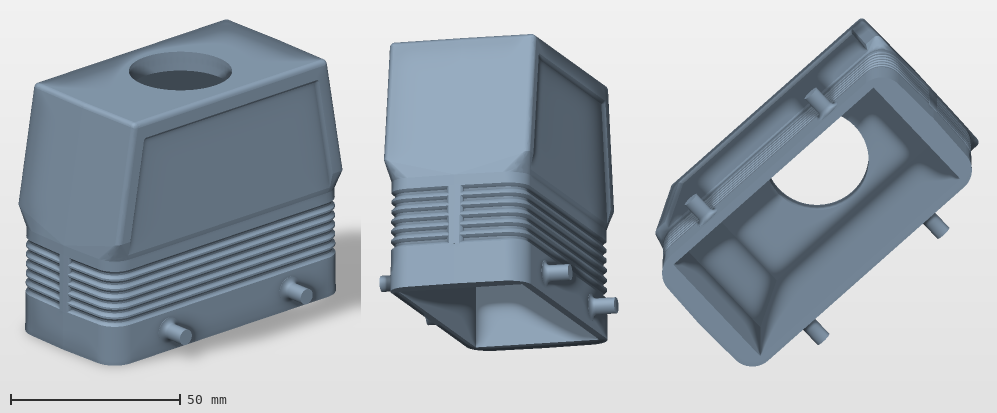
import math

import cadquery as cq

height = 76.0
base_half_x = 21.5
overall_half_y = 46.75
base_corner_radius = 7.0
base_gable = 2.0

plinth_top = 12.0
groove_count = 6
groove_pitch = 3.0
groove_depth = 1.0
rib_tip_flat = 0.6
groove_floor_flat = 0.6
end_strip_half_width = 1.5
end_strip_rise = 0.16

neck_inset = 0.35
neck_top = 33.0
shoulder_top = 39.2

hood_half_x = 22.5
hood_end_slope = 10.0
hood_gable = 1.0
hood_edge_radius = 1.5
shoulder_end_drop = 0.69

panel_depth = 1.0
panel_floor_top = 69.7
panel_floor_top_half_y = 33.8
panel_bevel = 45.0

entry_diameter = 30.5
ceiling_thickness = 6.0
side_wall = 2.5
end_wall = 6.3

pin_diameter = 4.8
pin_root_fillet = 1.6
pin_tip_x = 29.0
pin_z = 6.4
pin_y = 24.0

draft_ratio = neck_inset / neck_top
base_half_y = overall_half_y - end_strip_rise + draft_ratio * plinth_top
sleeve_top = plinth_top + groove_count * groove_pitch
groove_flank = (groove_pitch - rib_tip_flat - groove_floor_flat) / 2
neck_half_y = base_half_y - neck_inset
slope_ratio = math.tan(math.radians(hood_end_slope))
hood_top_half_y = neck_half_y - (height - neck_top) * slope_ratio
ceiling_z = height - ceiling_thickness
clear_width = 4 * overall_half_y


def outline(half_x, half_y, radius, gable):
    """Rounded rectangle whose two Y ends peak slightly on the centre line."""
    corner_y = half_y - half_x * math.tan(math.radians(gable))
    points = [
        (half_x, corner_y),
        (0, half_y),
        (-half_x, corner_y),
        (-half_x, -corner_y),
        (0, -half_y),
        (half_x, -corner_y),
        (half_x, corner_y),
    ]
    return cq.Sketch().polygon(points).vertices(">X or <X").fillet(radius)


def sleeve_outline(z, depth=0.0):
    """Drafted outside of the sleeve at height z, or its inset at a depth below that surface."""
    inset = draft_ratio * z + depth
    return outline(base_half_x - inset, base_half_y - inset, base_corner_radius - inset, base_gable)


def stack(lower, z_lower, upper, z_upper):
    """Straight-sided solid between two level outlines."""
    upper = upper.moved(cq.Location(cq.Vector(0, 0, z_upper - z_lower)))
    return cq.Workplane(origin=(0, 0, z_lower)).placeSketch(lower, upper).loft(ruled=True)


def make_sleeve():
    """Drafted plinth, ribs and neck, grooved all round except for a strip on each end."""
    sleeve = stack(sleeve_outline(0), 0, sleeve_outline(neck_top), neck_top)
    strips = make_end_strips()
    for index in range(groove_count):
        groove_bottom = plinth_top + index * groove_pitch + rib_tip_flat / 2
        sleeve = sleeve.cut(make_groove_cutter(groove_bottom).cut(strips))
    strip_foot = sleeve_outline(plinth_top, -end_strip_rise)
    strip_head = sleeve_outline(sleeve_top)
    strip_limit = stack(strip_foot, plinth_top, strip_head, sleeve_top)
    return sleeve.union(strips.intersect(strip_limit))


def make_groove_cutter(bottom):
    """Slab with the material left inside one V-flanked groove taken out of it."""
    floor_bottom = bottom + groove_flank
    floor_top = floor_bottom + groove_floor_flat
    top = floor_top + groove_flank
    lower_rim = sleeve_outline(bottom)
    lower_floor = sleeve_outline(floor_bottom, groove_depth)
    upper_floor = sleeve_outline(floor_top, groove_depth)
    upper_rim = sleeve_outline(top)
    slab = cq.Workplane(origin=(0, 0, bottom)).rect(clear_width, clear_width).extrude(top - bottom)
    return (
        slab.cut(stack(lower_rim, bottom, lower_floor, floor_bottom))
        .cut(stack(lower_floor, floor_bottom, upper_floor, floor_top))
        .cut(stack(upper_floor, floor_top, upper_rim, top))
    )


def make_end_strips():
    """Prisms, splayed towards the groove floors, that interrupt the grooves in the middle of each end."""
    foot_half_width = end_strip_half_width + groove_depth
    foot_y = base_half_y - groove_depth
    inner_y = foot_y - 2 * groove_depth
    strip = (
        cq.Workplane(origin=(0, 0, plinth_top))
        .moveTo(-foot_half_width, inner_y)
        .lineTo(-foot_half_width, foot_y)
        .lineTo(-end_strip_half_width, base_half_y)
        .lineTo(-end_strip_half_width, clear_width)
        .lineTo(end_strip_half_width, clear_width)
        .lineTo(end_strip_half_width, base_half_y)
        .lineTo(foot_half_width, foot_y)
        .lineTo(foot_half_width, inner_y)
        .close()
        .extrude(sleeve_top - plinth_top)
    )
    return strip.union(strip.mirror("XZ"))


def make_hood():
    """Sloping-ended hood, its foot narrowed to the neck by a flared shoulder."""
    foot = outline(hood_half_x, neck_half_y, hood_edge_radius, hood_gable)
    top = outline(hood_half_x, hood_top_half_y, hood_edge_radius, hood_gable)
    hood = stack(foot, neck_top, top, height).faces(">Z").edges().fillet(hood_edge_radius)

    shoulder_half_y = neck_half_y - shoulder_end_drop
    shoulder = outline(hood_half_x, shoulder_half_y, hood_edge_radius, base_gable)
    limit = stack(sleeve_outline(neck_top), neck_top, shoulder, shoulder_top)
    above = (
        cq.Workplane(origin=(0, 0, shoulder_top))
        .rect(clear_width, clear_width)
        .extrude(height - shoulder_top)
    )
    return hood.intersect(limit.union(above))


def make_panel_cutter():
    """Bevelled recess in the +X side, running out through the shoulder below."""
    floor_bottom_half_y = panel_floor_top_half_y + (panel_floor_top - neck_top) * slope_ratio
    return (
        cq.Workplane("YZ", origin=(hood_half_x - panel_depth, 0, 0))
        .moveTo(-floor_bottom_half_y, neck_top)
        .lineTo(floor_bottom_half_y, neck_top)
        .lineTo(panel_floor_top_half_y, panel_floor_top)
        .lineTo(-panel_floor_top_half_y, panel_floor_top)
        .close()
        .extrude(panel_depth, taper=-panel_bevel)
    )


def make_cavity():
    """Open-bottomed cavity whose end walls follow the outside."""
    foot_half_y = neck_half_y - end_wall
    ceiling_half_y = foot_half_y - (ceiling_z - neck_top) * slope_ratio
    cavity_width = 2 * (base_half_x - side_wall)
    return (
        cq.Workplane("YZ")
        .moveTo(-foot_half_y, 0)
        .lineTo(foot_half_y, 0)
        .lineTo(foot_half_y, neck_top)
        .lineTo(ceiling_half_y, ceiling_z)
        .lineTo(-ceiling_half_y, ceiling_z)
        .lineTo(-foot_half_y, neck_top)
        .close()
        .extrude(cavity_width / 2, both=True)
    )


def make_entry():
    return cq.Workplane(origin=(0, 0, ceiling_z)).circle(entry_diameter / 2).extrude(ceiling_thickness)


def make_pin(y):
    """Pin on the +X side with a concave fillet where it meets the wall."""
    radius = pin_diameter / 2
    root_x = base_half_x - side_wall / 2
    fillet_end_x = base_half_x + pin_root_fillet
    fillet_centre_r = radius + pin_root_fillet
    arc_offset = pin_root_fillet * math.sqrt(0.5)
    return (
        cq.Workplane("XY", origin=(0, y, pin_z))
        .moveTo(root_x, 0)
        .lineTo(root_x, fillet_centre_r)
        .lineTo(base_half_x, fillet_centre_r)
        .threePointArc(
            (fillet_end_x - arc_offset, fillet_centre_r - arc_offset),
            (fillet_end_x, radius),
        )
        .lineTo(pin_tip_x, radius)
        .lineTo(pin_tip_x, 0)
        .close()
        .revolve(360, (0, 0, 0), (1, 0, 0))
    )


panel_cutter = make_panel_cutter()
result = make_sleeve().union(make_hood())
result = result.cut(panel_cutter).cut(panel_cutter.mirror("YZ"))
result = result.cut(make_cavity()).cut(make_entry())
for pin_position in (-pin_y, pin_y):
    pin = make_pin(pin_position)
    result = result.union(pin).union(pin.mirror("YZ"))